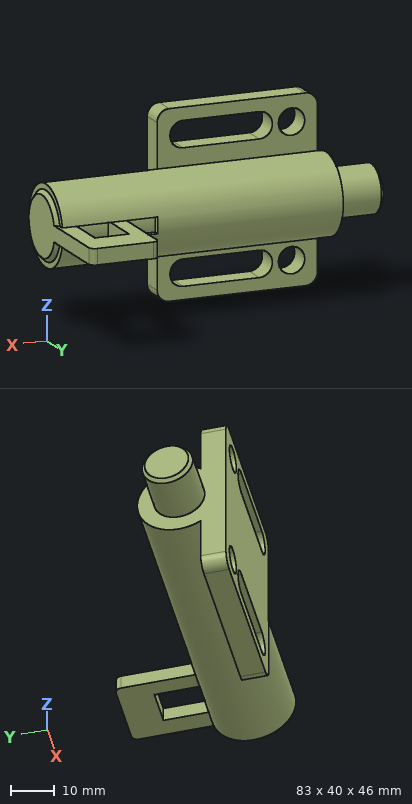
import cadquery as cq


bolt_length = 83.0
nose_length = 12.0
tail_length = 1.0
barrel_start = nose_length
barrel_end = bolt_length - tail_length

nose_diameter = 12.0
nose_chamfer = 0.8
tail_diameter = 17.0
tail_chamfer = 1.0

handle_width = 17.0
handle_reach = 29.0
handle_thickness = 4.0
handle_corner_radius = 1.5
handle_start = bolt_length - handle_width
window_width = 8.5
window_margin = 4.0
window_start = handle_start + window_margin
window_reach = 20.5

barrel_diameter = 20.0
slot_start = 58.3
slot_length = barrel_end - slot_start

plate_length = 40.0
plate_height = 46.0
plate_thickness = 6.0
plate_corner_radius = 3.0
plate_face = -11.0
plate_back = plate_face + plate_thickness
hole_diameter = 6.5
edge_margin = 3.2
screw_slot_length = 25.5
hole_x = barrel_start + edge_margin + hole_diameter / 2
screw_slot_x = barrel_start + plate_length - edge_margin - screw_slot_length / 2
hole_z = plate_height / 2 - edge_margin - hole_diameter / 2


def rod(diameter, start, end):
    """Cylinder on the X axis."""
    return cq.Workplane("YZ", origin=(start, 0, 0)).circle(diameter / 2).extrude(end - start)


def block(x_start, x_size, y_start, y_end, z_size):
    """Box centred on Z = 0."""
    workplane = cq.Workplane("XY", origin=(x_start, y_start, 0))
    return workplane.box(x_size, y_end - y_start, z_size, centered=(False, False, True))


def make_plate():
    plate = block(barrel_start, plate_length, plate_face, plate_back, plate_height)
    plate = plate.edges("|Y").fillet(plate_corner_radius)
    for z in (hole_z, -hole_z):
        hole = (
            cq.Workplane("XZ", origin=(hole_x, plate_back, z))
            .circle(hole_diameter / 2)
            .extrude(plate_thickness)
        )
        screw_slot = (
            cq.Workplane("XZ", origin=(screw_slot_x, plate_back, z))
            .slot2D(screw_slot_length, hole_diameter)
            .extrude(plate_thickness)
        )
        plate = plate.cut(hole).cut(screw_slot)
    return plate


def make_housing():
    barrel = rod(barrel_diameter, barrel_start, barrel_end)
    housing = barrel.union(make_plate())
    housing = housing.cut(rod(nose_diameter, barrel_start, slot_start))
    housing = housing.cut(rod(tail_diameter, slot_start, barrel_end))
    handle_slot = block(slot_start, slot_length, 0, barrel_diameter, handle_thickness)
    return housing.cut(handle_slot)


def make_handle():
    handle = block(handle_start, handle_width, 0, handle_reach, handle_thickness)
    handle = handle.edges("|Z and >Y").fillet(handle_corner_radius)
    window = block(window_start, window_width, 0, window_reach, handle_thickness)
    return handle.cut(window)


def make_bolt():
    nose = rod(nose_diameter, 0, slot_start).faces("<X").chamfer(nose_chamfer)
    tail = rod(tail_diameter, slot_start, bolt_length).faces(">X").chamfer(tail_chamfer)
    return nose.union(tail).union(make_handle())


housing = make_housing()
bolt = make_bolt()

result = cq.Compound.makeCompound([housing.val(), bolt.val()])